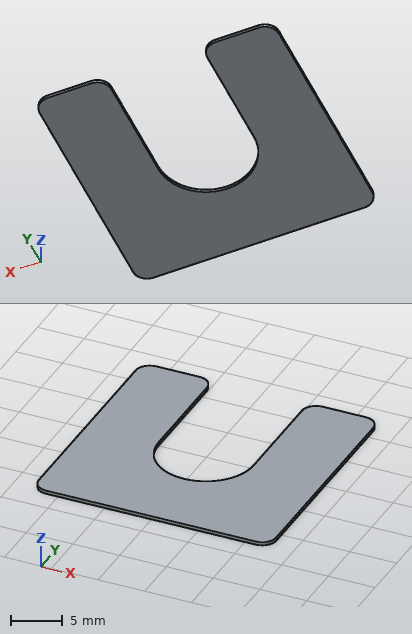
import cadquery as cq

side = 25.4
thickness = 0.38
corner_radius = 1.5

slot_width = 10.15
slot_radius = slot_width / 2
slot_depth = side / 2

plate = cq.Workplane("XY").box(side, side, thickness)

slot_end = cq.Workplane("XY").circle(slot_radius).extrude(thickness, both=True)
slot_channel = (
    cq.Workplane("XY")
    .center(0, slot_depth / 2)
    .rect(slot_width, slot_depth)
    .extrude(thickness, both=True)
)
slotted_plate = plate.cut(slot_end).cut(slot_channel)

back_corners = slotted_plate.edges("|Z and >Y")
front_corners = slotted_plate.edges("|Z and <Y")
result = slotted_plate.newObject(back_corners.vals() + front_corners.vals()).fillet(corner_radius)